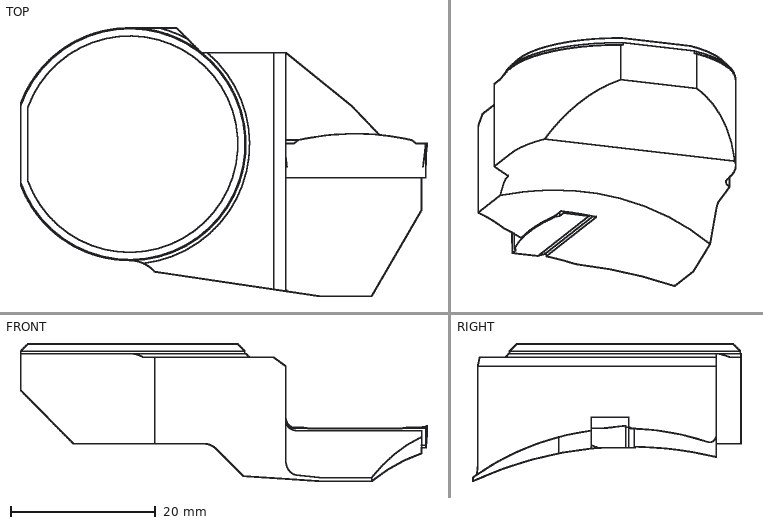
import cadquery as cq
import math


disc_radius = 16.05
disc_height = 13.8
flat_x = -15.05
heel_rise = 7.4
heel_run = 7.3
rim_radius = 15.95
rim_base_z = 12.45
rim_chamfer = 1.0
skirt_width = 0.5

block_top = 11.95
block_face_x = 21.55
block_side_y = 12.6
tab_x = 6.45
neck_x = 3.5
neck_y = -17.6
foot_x = 11.2
foot_corner_radius = 2.25
face_chamfer_length = 1.7
face_chamfer_drop = 1.25

front_y = -21.0
front_start_x = 26.15
front_end_x = 33.4
blade_end_x = 40.3
blade_end_y = -9.1
back_bend = (30.65, 5.3)
back_end = (34.5, 1.25)
blade_top_z = 2.15
blade_top_radius = 35.9
root_fillet = 1.5
under_top_z = -0.4
under_radius = 51.05
under_axis_y = 0.55
lowest_z = -6.75

insert_x = 31.1
insert_front_y = -4.65
insert_back_y = 1.45
insert_top = 2.15
insert_bottom = -0.55
insert_bevel_width = 1.0
insert_bevel_height = 0.4
back_arc_half = 7.85
back_arc_end_y = 0.55
tip_start = 8.4
tip_y = 0.1
tip_half = 10.0
end_bend = (9.8, -1.4)
front_half = 9.75
flank_top_z = 1.7
flank_inset = 0.15
ramp_foot = (6.35, 0.85)
land_corner = (7.25, -1.95)
land_end = (9.35, -3.15)
lip_back = (9.6, tip_y)
land_slope = 0.07
ramp_slope = 0.185
lip_land_slope = 0.12
lip_slope = 1.3

pocket_clearance = 0.1
pocket_top = insert_top + root_fillet


def flatted_disc(radius, bottom_z):
    """Closed outline at bottom_z, round except for the flat at flat_x."""
    corner_y = math.sqrt(radius**2 - flat_x**2)
    return (
        cq.Workplane("XY")
        .workplane(offset=bottom_z)
        .moveTo(flat_x, -corner_y)
        .threePointArc((radius, 0), (flat_x, corner_y))
        .close()
    )


def make_disc():
    body = flatted_disc(disc_radius, 0).extrude(rim_base_z)
    bevel_base_z = disc_height - rim_chamfer
    rim = flatted_disc(rim_radius, rim_base_z).extrude(bevel_base_z - rim_base_z)
    bevel = flatted_disc(rim_radius, bevel_base_z).extrude(rim_chamfer, taper=45)
    heel = (
        cq.Workplane("XZ")
        .polyline([(flat_x, 0), (flat_x + heel_run, 0), (flat_x, heel_rise)])
        .close()
        .extrude(disc_radius, both=True)
    )
    return body.cut(heel).union(rim).union(bevel)


def block_plan():
    tab_drop = disc_radius - block_side_y
    outline = (
        cq.Workplane("XY")
        .workplane(offset=lowest_z)
        .moveTo(0, disc_radius)
        .lineTo(tab_x, disc_radius)
        .lineTo(tab_x + tab_drop, block_side_y)
        .lineTo(block_face_x, block_side_y)
        .lineTo(*back_bend)
        .lineTo(*back_end)
        .lineTo(blade_end_x, insert_front_y)
        .lineTo(blade_end_x, blade_end_y)
        .lineTo(front_end_x, front_y)
        .lineTo(front_start_x, front_y)
        .lineTo(neck_x, neck_y)
    )
    drop = -disc_radius - neck_y
    hollow_radius = (neck_x**2 + drop**2) / (2 * drop)
    half_angle = math.asin(neck_x / hollow_radius) / 2
    hollow_middle = (
        hollow_radius * math.sin(half_angle),
        -disc_radius - hollow_radius * (1 - math.cos(half_angle)),
    )
    outline = outline.threePointArc(hollow_middle, (0, -disc_radius))
    return outline.close().extrude(block_top - lowest_z)


def side_profile():
    foot_end = foot_x - lowest_z
    profile = (
        cq.Workplane("XZ")
        .polyline([
            (0, 0),
            (foot_x, 0),
            (foot_end, lowest_z),
            (blade_end_x, lowest_z),
            (blade_end_x, block_top - face_chamfer_drop),
            (block_face_x, block_top - face_chamfer_drop),
            (block_face_x - face_chamfer_length, block_top),
            (0, block_top),
        ])
        .close()
        .extrude(2 * disc_radius, both=True)
    )
    corner = cq.selectors.NearestToPointSelector((foot_x, 0, 0))
    return profile.edges("|Y").edges(corner).fillet(foot_corner_radius)


def cylinder_along_x(radius, y, top_z):
    length = 2 * blade_end_x
    return cq.Workplane("YZ").center(y, top_z - radius).circle(radius).extrude(length)


def space_above_blade():
    """Space over the blade top, rounded where it meets the block face."""
    size = blade_end_x
    space = (
        cq.Workplane("XY")
        .box(size, 2 * size, 2 * size, centered=(False, True, True))
        .translate((block_face_x, 0, block_top - size))
    )
    space = space.cut(cylinder_along_x(blade_top_radius, 0, blade_top_z))
    return space.faces("<X").edges("%CIRCLE").fillet(root_fillet)


def back_arc(workplane):
    """Arc of the insert's +Y side, drawn from its +X end to its -X end."""
    return workplane.threePointArc((0, insert_back_y), (-back_arc_half, back_arc_end_y))


def insert_pocket():
    closed_end = -tip_half - pocket_clearance
    open_end = blade_end_x
    outline = (
        cq.Workplane("XY")
        .workplane(offset=lowest_z)
        .moveTo(closed_end, insert_front_y)
        .lineTo(open_end, insert_front_y)
        .lineTo(open_end, back_arc_end_y)
        .lineTo(back_arc_half, back_arc_end_y)
    )
    outline = back_arc(outline).lineTo(closed_end, back_arc_end_y)
    pocket = outline.close().extrude(pocket_top - lowest_z)
    return pocket.translate((insert_x, 0, 0))


def make_holder():
    plan = block_plan()
    block = plan.intersect(side_profile())
    block = block.cut(cylinder_along_x(under_radius, under_axis_y, under_top_z))
    block = block.cut(space_above_blade())
    block = block.cut(insert_pocket())
    skirt = (
        cq.Workplane("XY")
        .add(cq.Solid.makeCone(disc_radius + skirt_width, disc_radius, skirt_width))
        .translate((0, 0, block_top))
        .intersect(plan.translate((0, 0, skirt_width)))
    )
    return make_disc().union(block).union(skirt)


def rising_wedge(start, end, slope):
    """Wedge on the insert top that climbs from the line start-end toward the line's left side."""
    along = cq.Vector(end[0] - start[0], end[1] - start[1], 0).normalized()
    left = cq.Vector(-along.y, along.x, 0)
    plane = cq.Plane(origin=(*start, insert_top), xDir=left, normal=along)
    reach = tip_half
    return (
        cq.Workplane(plane)
        .polyline([(0, 0), (reach, 0), (reach, reach * slope)])
        .close()
        .extrude(reach, both=True)
    )


def insert_plan():
    half_points = [
        (tip_start, tip_y),
        (tip_half, tip_y),
        end_bend,
        (front_half, insert_front_y),
    ]
    mirrored = [(-x, y) for x, y in half_points]
    outline = cq.Workplane("XY").moveTo(-front_half, insert_front_y)
    for point in reversed(half_points):
        outline = outline.lineTo(*point)
    outline = back_arc(outline.lineTo(back_arc_half, back_arc_end_y))
    for point in mirrored[:-1]:
        outline = outline.lineTo(*point)
    return outline.close()


def make_insert():
    body = insert_plan().extrude(insert_top - insert_bottom).translate((0, 0, insert_bottom))
    bevel = (
        cq.Workplane("YZ")
        .polyline([
            (insert_front_y, insert_bottom),
            (insert_front_y + insert_bevel_width, insert_bottom),
            (insert_front_y, insert_bottom + insert_bevel_height),
        ])
        .close()
        .extrude(tip_half, both=True)
    )
    flank = (
        cq.Workplane("XZ")
        .polyline([
            (tip_half, flank_top_z),
            (tip_half, insert_bottom),
            (tip_half - flank_inset, insert_bottom),
        ])
        .close()
        .extrude(tip_half, both=True)
    )
    body = body.cut(bevel).cut(flank).cut(flank.mirror("YZ"))

    slab = insert_plan().extrude(insert_top).translate((0, 0, insert_top))
    land = slab.intersect(rising_wedge(land_corner, land_end, land_slope))
    land = land.intersect(rising_wedge(ramp_foot, land_corner, ramp_slope))
    lip = slab.intersect(rising_wedge(land_corner, land_end, lip_land_slope))
    lip = lip.intersect(rising_wedge(lip_back, land_end, lip_slope))
    raised = land.union(lip)
    body = body.union(raised).union(raised.mirror("YZ"))
    return body.translate((insert_x, 0, 0))


holder = make_holder()
insert = make_insert()
result = cq.Compound.makeCompound([holder.val(), insert.val()])